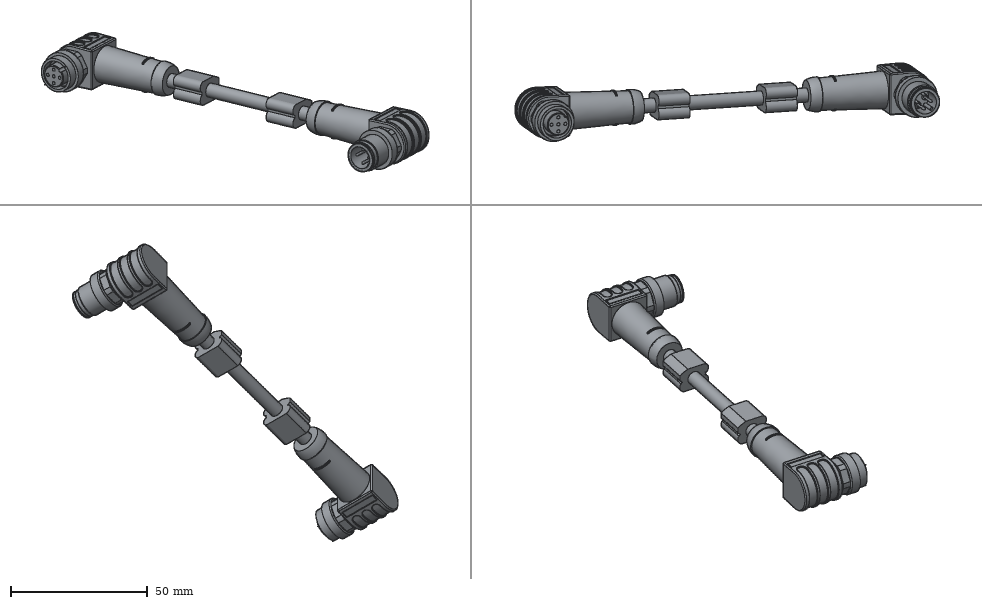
import cadquery as cq
import math


length = 155.1
head_back = 7.9
tip_front = -25.6

rib_diameter = 16.0
rib_radius = rib_diameter / 2
head_end_half_height = 7.8
head_depth = 16.1
head_reach = 8.4
head_chamfer = 0.5
head_axis = length / 2 - rib_radius
head_front = head_back - head_depth
grip_depth = 0.5
grip_chamfer = 0.23
grip_width = 3.3
grip_pitch = 4.5
grip_run = 2.3
head_middle = head_back - head_depth / 2
panel_start = 3.7
panel_length = 2.8
panel_width = 14.0
panel_depth = 0.3

relief_base_diameter = 14.0
relief_neck_diameter = 12.0
relief_collar_diameter = 12.9
relief_end_diameter = 11.0
relief_end_crown = 0.3
relief_collar_start = 25.0
relief_end = 29.3
tick_position = 19.0
tick_width = 0.6
tick_height = 0.3
tick_span = 6.8

cable_diameter = 5.3
clip_length = 12.0
clip_offset = 14.6
clip_half_height = 4.7
clip_flat = 4.3
clip_flat_back = 2.6
clip_bulge = 6.2
clip_back = 6.0
clip_waist = 5.0
clip_lip = 5.6

neck_diameter = 9.3
nut_start = -9.0
nut_end = -12.0
nut_flats = 12.9
nut_diameter = 13.8
collar_end = -15.8
collar_diameter = 15.0
collar_chamfer = 0.5

socket_shell_diameter = 12.9
socket_shell_bore = 10.9
socket_shell_end = -20.0
insert_diameter = 8.4
insert_end = -20.8
insert_chamfer = 0.3
rim_notch_width = 9.0
rim_notch_depth = 0.6
contact_count = 4
contact_radius = 2.6
socket_hole_diameter = 1.15
socket_hole_depth = 4.7
key_diameter = 1.4
seal_thickness = 1.1

pin_shell_diameter = 12.0
pin_shell_end = -22.5
pin_tip_diameter = 11.0
pin_groove_diameter = 10.5
pin_lip_diameter = 10.9
pin_groove_start = -24.2
pin_groove_end = -25.1
pin_bore_diameter = 8.4
pin_bore_floor = -15.8
pin_diameter = 1.0
pin_end = -24.0
pin_tip_radius = 0.3
pin_base_diameter = 2.2
pin_base_height = 0.5


def rod(diameter, start, end, x=0, z=0):
    """Cylinder along -Y between two Y positions."""
    return cq.Workplane("XZ", origin=(x, start, z)).circle(diameter / 2).extrude(start - end)


def head_outline():
    """Half-round outline in XZ whose two flats leave the round tangentially."""
    corner_angle = math.atan2(head_end_half_height, head_reach)
    corner_distance = math.hypot(head_reach, head_end_half_height)
    tangent_angle = corner_angle + math.acos(rib_radius / corner_distance)
    tangent_x = rib_radius * math.cos(tangent_angle)
    tangent_z = rib_radius * math.sin(tangent_angle)
    return (
        cq.Workplane("XZ", origin=(0, head_back, 0))
        .moveTo(tangent_x, tangent_z)
        .lineTo(head_reach, head_end_half_height)
        .lineTo(head_reach, -head_end_half_height)
        .lineTo(tangent_x, -tangent_z)
        .threePointArc((-rib_radius, 0), (tangent_x, tangent_z))
        .close()
    )


def grip_groove(y):
    """Groove round the outside of the head, with rounded ends on both flat faces."""
    half_width = grip_width / 2
    outer = 3 * rib_radius
    return (
        cq.Workplane("XY", origin=(0, y, -outer / 2))
        .moveTo(-outer / 2, -half_width)
        .lineTo(grip_run - half_width, -half_width)
        .threePointArc((grip_run, 0), (grip_run - half_width, half_width))
        .lineTo(-outer / 2, half_width)
        .close()
        .extrude(outer)
    )


def is_grip_rim(edge):
    """True for an edge where a groove wall meets the outer surface of the head."""
    box = edge.BoundingBox()
    between_ends = box.ymin > head_front + 2 * head_chamfer and box.ymax < head_back - 2 * head_chamfer
    on_surface = max(box.zmax, -box.zmin) > rib_radius - grip_depth / 2
    runs_across = box.xlen > grip_depth
    return between_ends and on_surface and runs_across


def head():
    """Ribbed head: grooves go down to an inset core, and a label panel is sunk in each flat."""
    body = head_outline().extrude(head_depth).faces(">X or >Y or <Y").edges().chamfer(head_chamfer)
    core = head_outline().offset2D(-grip_depth).extrude(head_depth)
    for step in (-1, 0, 1):
        body = body.cut(grip_groove(head_middle + step * grip_pitch).cut(core))
    body = body.newObject([e for e in body.edges().vals() if is_grip_rim(e)]).chamfer(grip_chamfer)
    panel = cq.Workplane("XY").box(panel_length, panel_width, rib_radius, centered=(False, True, False))
    floor = head_end_half_height - panel_depth
    sunk_panel = panel.translate((panel_start, head_middle, floor))
    return body.cut(sunk_panel).cut(sunk_panel.mirror("XY"))


def strain_relief():
    """Tapered sleeve from the head to the cable, with a raised tick above and below."""
    collar_start = head_reach + relief_collar_start
    end = head_reach + relief_end
    collar_radius = relief_collar_diameter / 2
    end_radius = relief_end_diameter / 2
    bulge = ((collar_start + end) / 2, (collar_radius + end_radius) / 2 + relief_end_crown)
    sleeve = (
        cq.Workplane("XY")
        .lineTo(0, relief_base_diameter / 2)
        .lineTo(head_reach, relief_base_diameter / 2)
        .lineTo(collar_start, relief_neck_diameter / 2)
        .lineTo(collar_start, collar_radius)
        .threePointArc(bulge, (end, end_radius))
        .lineTo(end, 0)
        .close()
        .revolve(360, (0, 0, 0), (1, 0, 0))
    )
    taper = (relief_base_diameter - relief_neck_diameter) / 2 / relief_collar_start
    tick_radius = relief_base_diameter / 2 - taper * tick_position + tick_height
    tick = (
        cq.Workplane("YZ", origin=(head_reach + tick_position, 0, 0))
        .circle(tick_radius)
        .extrude(tick_width)
        .intersect(cq.Workplane("XY").box(length, tick_span, 2 * rib_radius))
    )
    return sleeve.union(tick)


def coupling_nut():
    """Neck, hexagon with rounded corners and collar shared by both connectors."""
    neck = rod(neck_diameter, head_front, nut_start)
    corner_diameter = nut_flats / math.cos(math.pi / 6)
    hexagon = (
        cq.Workplane("XZ", origin=(0, nut_start, 0))
        .polygon(6, corner_diameter)
        .extrude(nut_start - nut_end)
        .intersect(rod(nut_diameter, nut_start, nut_end))
    )
    collar = rod(collar_diameter, nut_end, collar_end).faces(">Y").edges().chamfer(collar_chamfer)
    return neck.union(hexagon).union(collar)


def contact_positions():
    angles = [2 * math.pi * step / contact_count for step in range(contact_count)]
    return [(contact_radius * math.cos(a), contact_radius * math.sin(a)) for a in angles]


def socket_connector():
    """Open shell round an insert with five contact holes, a keyway and a seal ring."""
    shell = rod(socket_shell_diameter, collar_end, socket_shell_end)
    shell = shell.cut(rod(socket_shell_bore, collar_end, socket_shell_end))
    notch = (
        cq.Workplane("XY", origin=(0, socket_shell_end + rim_notch_depth / 2, 0))
        .box(rim_notch_width, rim_notch_depth, 2 * socket_shell_diameter)
    )
    shell = shell.cut(notch).cut(notch.rotate((0, 0, 0), (0, 1, 0), 90))
    insert = rod(insert_diameter, collar_end, insert_end).faces("<Y").edges().chamfer(insert_chamfer)
    for x, z in contact_positions() + [(0, 0)]:
        insert = insert.cut(rod(socket_hole_diameter, insert_end + socket_hole_depth, insert_end, x, z))
    key_offset = insert_diameter / 2 * math.cos(math.pi / 4)
    insert = insert.cut(rod(key_diameter, collar_end, insert_end, key_offset, key_offset))
    seal_radius = (insert_diameter + seal_thickness) / 2
    seal = (
        cq.Workplane("XY", origin=(0, collar_end, 0))
        .center(seal_radius, 0)
        .circle(seal_thickness / 2)
        .revolve(360, (-seal_radius, 0, 0), (-seal_radius, 1, 0))
    )
    return coupling_nut().union(shell).union(seal).union(insert)


def pin_connector():
    """Deep shell with a grooved tip, four contact pins and a key rib in its bore."""
    shell = (
        rod(pin_shell_diameter, collar_end, pin_shell_end)
        .union(rod(pin_tip_diameter, pin_shell_end, pin_groove_start))
        .union(rod(pin_groove_diameter, pin_groove_start, pin_groove_end))
        .union(rod(pin_lip_diameter, pin_groove_end, tip_front))
        .cut(rod(pin_bore_diameter, pin_bore_floor, tip_front))
    )
    connector = coupling_nut().union(shell)
    for x, z in contact_positions():
        pin = rod(pin_diameter, pin_bore_floor, pin_end, x, z).faces("<Y").edges().fillet(pin_tip_radius)
        base = rod(pin_base_diameter, pin_bore_floor, pin_bore_floor - pin_base_height, x, z)
        connector = connector.union(base).union(pin)
    key_offset = pin_bore_diameter / 2 * math.cos(math.pi / 4)
    return connector.union(rod(key_diameter, pin_bore_floor, pin_end, key_offset, -key_offset))


def label_clip():
    """Extruded clip round the cable, with a groove between two lobes on each long side."""
    top = clip_half_height
    lobe_middle = 2.5
    groove_top = 0.6
    groove_bottom = -0.3
    lobe_top = -0.8
    back_corner = 2.8
    back_shoulder = 3.5
    return (
        cq.Workplane("YZ")
        .moveTo(clip_flat_back, top)
        .lineTo(-clip_flat, top)
        .threePointArc((-clip_bulge, lobe_middle), (-clip_waist, groove_top))
        .lineTo(-clip_waist, groove_bottom)
        .lineTo(-clip_lip, lobe_top)
        .threePointArc((-clip_bulge, -lobe_middle), (-clip_flat, -top))
        .lineTo(clip_flat, -top)
        .threePointArc((clip_back, -lobe_middle), (clip_lip, lobe_top))
        .lineTo(clip_waist, groove_bottom)
        .lineTo(clip_back, groove_top)
        .lineTo(clip_back, back_corner)
        .lineTo(clip_waist, back_shoulder)
        .close()
        .extrude(clip_length)
    )


common = head().union(strain_relief())
left_end = common.union(socket_connector()).translate((-head_axis, 0, 0))
right_end = common.mirror("YZ").union(pin_connector()).translate((head_axis, 0, 0))

cable = cq.Workplane("YZ", origin=(-head_axis, 0, 0)).circle(cable_diameter / 2).extrude(2 * head_axis)

result = left_end.union(cable).union(right_end)
for clip_start in (-clip_offset - clip_length, clip_offset):
    result = result.union(label_clip().translate((clip_start, 0, 0)))